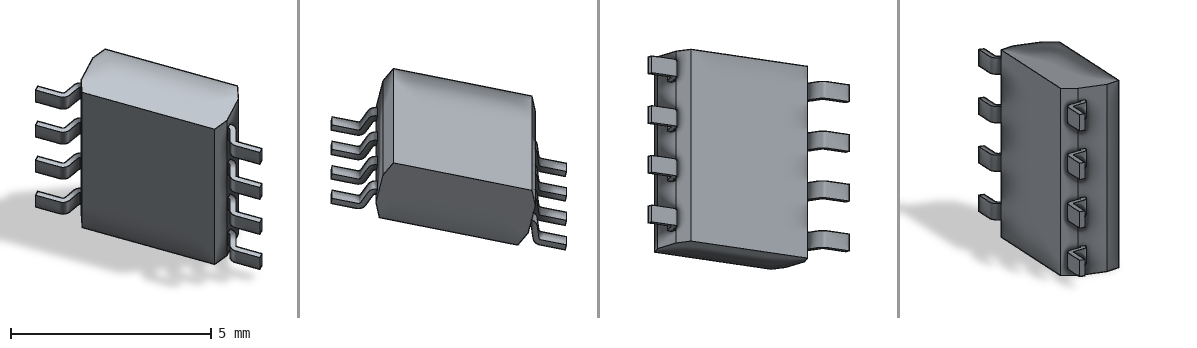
import cadquery as cq
import math

BODY_WIDTH = 3.9
BODY_DEPTH = 1.6
BODY_LENGTH = 4.9
BEVEL_DEPTH = 0.4
BEVEL_INSET = 0.178
STANDOFF = 0.05

LEAD_SPAN = 6.0
LEADS_PER_SIDE = 4
LEAD_PITCH = 1.27
LEAD_WIDTH = 0.43
LEAD_THICKNESS = 0.15
FOOT_LENGTH = 0.65
SHOULDER_HEIGHT = 0.65
BEND_ANGLE = math.radians(70)
BEND_INNER_RADIUS = LEAD_THICKNESS / 2
BEND_OUTER_RADIUS = BEND_INNER_RADIUS + LEAD_THICKNESS

FOOT_BEND_X = LEAD_SPAN / 2 - FOOT_LENGTH
FOOT_BEND_Y = BEND_OUTER_RADIUS
SHOULDER_BEND_Y = SHOULDER_HEIGHT - BEND_OUTER_RADIUS
RADIUS_SUM = BEND_INNER_RADIUS + BEND_OUTER_RADIUS
LEG_LENGTH = (
    SHOULDER_BEND_Y - FOOT_BEND_Y + RADIUS_SUM * math.cos(BEND_ANGLE)
) / math.sin(BEND_ANGLE)
SHOULDER_BEND_X = (
    FOOT_BEND_X - RADIUS_SUM * math.sin(BEND_ANGLE) - LEG_LENGTH * math.cos(BEND_ANGLE)
)


def make_body():
    """Eight-sided block with sloped side faces leading to its front and back."""
    side_x = BODY_WIDTH / 2
    face_x = side_x - BEVEL_INSET
    front_y = STANDOFF
    back_y = STANDOFF + BODY_DEPTH
    return (
        cq.Workplane("XY")
        .workplane(offset=-BODY_LENGTH / 2)
        .polyline([
            (-face_x, front_y),
            (face_x, front_y),
            (side_x, front_y + BEVEL_DEPTH),
            (side_x, back_y - BEVEL_DEPTH),
            (face_x, back_y),
            (-face_x, back_y),
            (-side_x, back_y - BEVEL_DEPTH),
            (-side_x, front_y + BEVEL_DEPTH),
        ])
        .close()
        .extrude(BODY_LENGTH)
    )


def foot_bend(radius, angle):
    """Point on the foot bend, at an angle turned from the flat foot."""
    return (FOOT_BEND_X - radius * math.sin(angle), FOOT_BEND_Y - radius * math.cos(angle))


def shoulder_bend(radius, angle):
    """Point on the shoulder bend, at an angle turned from the flat shoulder."""
    return (SHOULDER_BEND_X + radius * math.sin(angle), SHOULDER_BEND_Y + radius * math.cos(angle))


def make_right_lead(centre_z):
    """Lead from the +X side face of the body out to its toe."""
    body_x = BODY_WIDTH / 2
    toe_x = LEAD_SPAN / 2
    half_angle = BEND_ANGLE / 2
    inner = BEND_INNER_RADIUS
    outer = BEND_OUTER_RADIUS
    return (
        cq.Workplane("XY")
        .workplane(offset=centre_z - LEAD_WIDTH / 2)
        .moveTo(body_x, SHOULDER_HEIGHT)
        .lineTo(*shoulder_bend(outer, 0))
        .threePointArc(shoulder_bend(outer, half_angle), shoulder_bend(outer, BEND_ANGLE))
        .lineTo(*foot_bend(inner, BEND_ANGLE))
        .threePointArc(foot_bend(inner, half_angle), foot_bend(inner, 0))
        .lineTo(toe_x, LEAD_THICKNESS)
        .lineTo(toe_x, 0)
        .lineTo(*foot_bend(outer, 0))
        .threePointArc(foot_bend(outer, half_angle), foot_bend(outer, BEND_ANGLE))
        .lineTo(*shoulder_bend(inner, BEND_ANGLE))
        .threePointArc(shoulder_bend(inner, half_angle), shoulder_bend(inner, 0))
        .lineTo(body_x, SHOULDER_HEIGHT - LEAD_THICKNESS)
        .close()
        .extrude(LEAD_WIDTH)
    )


body = make_body()

leads = []
for row in range(LEADS_PER_SIDE):
    row_z = (row - (LEADS_PER_SIDE - 1) / 2) * LEAD_PITCH
    right_lead = make_right_lead(row_z)
    left_lead = right_lead.mirror("YZ")
    leads += [right_lead.val(), left_lead.val()]

result = cq.Compound.makeCompound([body.val(), *leads])